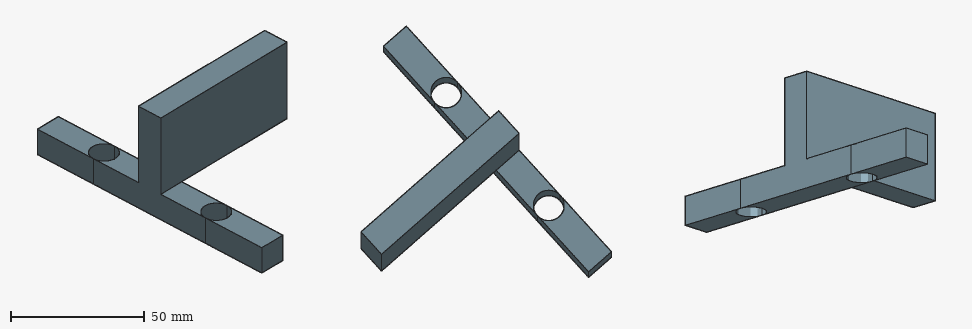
import cadquery as cq

bar_length = 115.5
bar_width = 11.5
bar_height = 11.5
hole_diameter = bar_width
hole_offset = bar_length / 4

plate_thickness = 11.5
plate_length = 69.3
plate_height = 34.6


def bar_segment(start_x, end_x):
    """Plain length of the bar between two X positions, front face on Y = 0."""
    return cq.Workplane("XY").box(
        end_x - start_x, bar_width, bar_height, centered=False
    ).translate((start_x, 0, 0))


def hole_cutter(center_x):
    """Vertical cylinder through the bar, tangent to its front and back faces."""
    return (
        cq.Workplane("XY")
        .center(center_x, bar_width / 2)
        .circle(hole_diameter / 2)
        .extrude(bar_height)
    )


def make_bar_end(side):
    """Outer piece of the bar: side is -1 for the -X end, +1 for the +X end."""
    hole_x = side * hole_offset
    tip_x = side * bar_length / 2
    segment = bar_segment(min(hole_x, tip_x), max(hole_x, tip_x))
    return segment.cut(hole_cutter(hole_x))


def make_stem():
    """Middle piece of the bar, in one solid with the upright plate."""
    middle = bar_segment(-hole_offset, hole_offset)
    for side in (-1, 1):
        middle = middle.cut(hole_cutter(side * hole_offset))
    plate = (
        cq.Workplane("XY")
        .box(plate_thickness, plate_length, plate_height, centered=False)
        .translate((-plate_thickness / 2, 0, bar_height))
    )
    return middle.union(plate)


stem = make_stem()
bar_ends = [make_bar_end(side) for side in (-1, 1)]

result = cq.Compound.makeCompound([stem.solids().val(), *[end.solids().val() for end in bar_ends]])